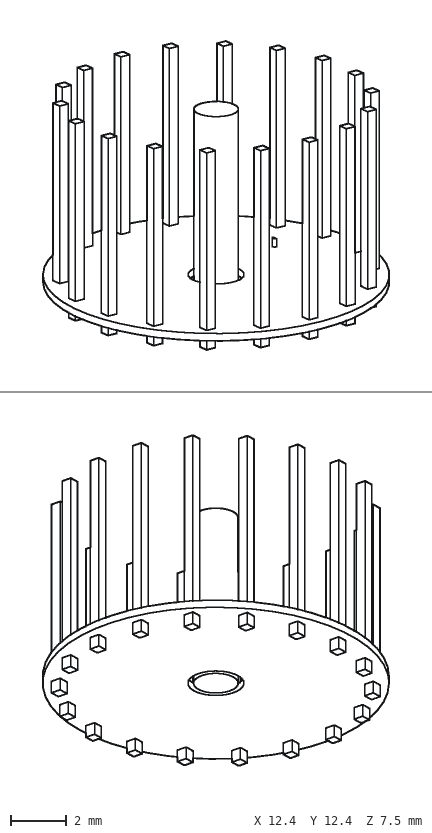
import cadquery as cq
import math

plate_diameter = 12.4
plate_thickness = 0.29
hole_diameter = 2.0

pin_count = 18
pin_side = 0.4
pin_circle_radius = 5.6
pin_length = 7.5
pin_depth_below_plate = 0.46

shaft_diameter = 1.6
shaft_height_above_plate = 6.3

stud_diameter = 0.2
stud_height = 0.31
stud_offset_x = 3.5
stud_clearance_above_plate = 2.1


def make_pin(angle):
    """One axis-aligned square pin, centred on the pin circle at the given angle."""
    return (
        cq.Workplane("XY")
        .box(pin_side, pin_side, pin_length, centered=(True, True, False))
        .translate((
            pin_circle_radius * math.cos(angle),
            pin_circle_radius * math.sin(angle),
            -pin_depth_below_plate,
        ))
    )


def make_pin_base():
    """Plate and its pins as one solid; the underside of the plate is at Z = 0."""
    base = (
        cq.Workplane("XY")
        .circle(plate_diameter / 2)
        .circle(hole_diameter / 2)
        .extrude(plate_thickness)
    )
    for index in range(pin_count):
        base = base.union(make_pin(2 * math.pi * index / pin_count))
    return base


def make_shaft():
    """Plain cylinder standing in the clearance hole without touching the plate."""
    return (
        cq.Workplane("XY")
        .circle(shaft_diameter / 2)
        .extrude(plate_thickness + shaft_height_above_plate)
    )


def make_stud():
    """Half cylinder with its flat face on the XZ plane and its round side towards -Y."""
    radius = stud_diameter / 2
    return (
        cq.Workplane("XY")
        .workplane(offset=plate_thickness + stud_clearance_above_plate)
        .moveTo(stud_offset_x - radius, 0)
        .threePointArc((stud_offset_x, -radius), (stud_offset_x + radius, 0))
        .close()
        .extrude(stud_height)
    )


pin_base = make_pin_base()
shaft = make_shaft()
stud = make_stud()

result = cq.Compound.makeCompound([pin_base.val(), shaft.val(), stud.val()])